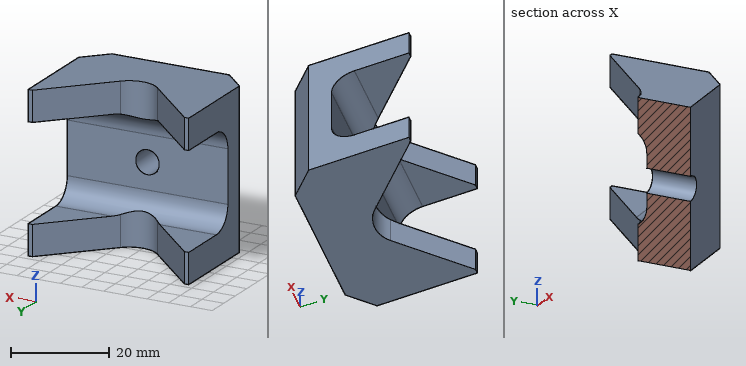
import cadquery as cq
import math

width = 37.0
depth = 27.0
height = 36.0
back_chamfer = 5.0

tip_width = 1.0
root_radius = 6.0

window_height = 22.0
window_depth = 17.0
window_corner_radius = 5.0

hole_diameter = 5.4


def make_body():
    block = cq.Workplane("XY").box(width, depth, height, centered=(True, False, True))
    return block.faces("<Y").edges("|Z").chamfer(back_chamfer)


def make_groove():
    half_opening = width / 2 - tip_width
    half_chord = root_radius * math.sin(math.radians(45))
    arc_end_y = depth - half_opening + half_chord
    root_y = arc_end_y - (root_radius - half_chord)
    return (
        cq.Workplane("XY", origin=(0, 0, -height / 2))
        .moveTo(-half_opening, depth)
        .lineTo(-half_chord, arc_end_y)
        .threePointArc((0, root_y), (half_chord, arc_end_y))
        .lineTo(half_opening, depth)
        .close()
        .extrude(height)
    )


def make_window():
    return (
        cq.Workplane("XY")
        .box(width, window_depth, window_height, centered=(True, False, True))
        .translate((0, depth - window_depth, 0))
        .faces("<Y")
        .edges("|X")
        .fillet(window_corner_radius)
    )


def make_hole():
    return cq.Workplane("XZ").circle(hole_diameter / 2).extrude(-depth)


result = make_body().cut(make_groove()).cut(make_window()).cut(make_hole())